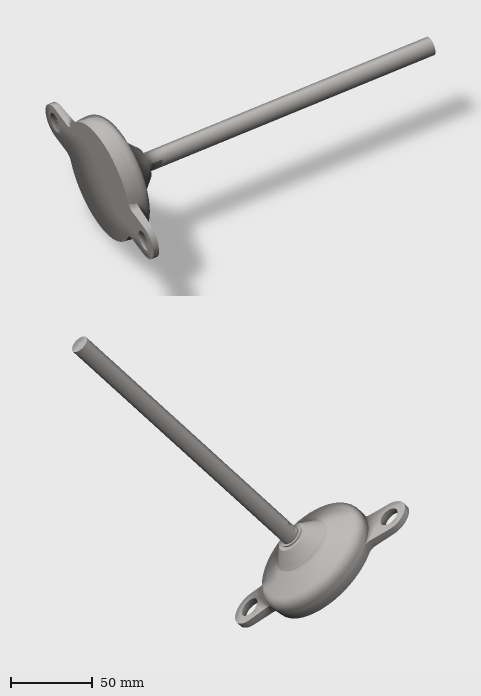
import cadquery as cq
import math

total_length = 231.5

base_radius = 39.4
rim_radius = 40.0
rim_bottom = 5.5
rim_top = 9.0
shoulder_radius = 6.7
dome_top_radius = 19.5
dome_top = 21.8

cone_bottom = 23.2
cone_bottom_radius = 17.8
cone_top = 30.5
cone_top_radius = 10.5
ring_radius = 7.6
ring_top = 31.5

overall_width = 136.0
lug_radius = 12.3
lug_hole_radius = 6.5
lug_root_fillet = 5.5
lug_tip_height = 4.0
hole_offset = overall_width / 2 - lug_radius

stem_radius = 6.0
flat_distance = 5.0
flat_bottom = 33.3
flat_top = 41.2


def turn(profile):
    """Revolve a profile drawn in the XY plane about the Y axis."""
    return profile.close().revolve(360, (0, 0, 0), (0, 1, 0))


def make_dome():
    """Turned disc with a slightly tapered foot, rounded shoulder and conical neck."""
    arc_x = rim_radius - shoulder_radius
    to_top_x = dome_top_radius - arc_x
    to_top_y = dome_top - rim_top
    top_direction = math.atan2(to_top_y, to_top_x)
    tangent_angle = top_direction - math.acos(shoulder_radius / math.hypot(to_top_x, to_top_y))

    def shoulder_point(angle):
        return arc_x + shoulder_radius * math.cos(angle), rim_top + shoulder_radius * math.sin(angle)

    return turn(
        cq.Workplane("XY")
        .moveTo(0, 0)
        .lineTo(base_radius, 0)
        .lineTo(rim_radius, rim_bottom)
        .lineTo(rim_radius, rim_top)
        .threePointArc(shoulder_point(tangent_angle / 2), shoulder_point(tangent_angle))
        .lineTo(dome_top_radius, dome_top)
        .lineTo(cone_bottom_radius, cone_bottom)
        .lineTo(cone_top_radius, cone_top)
        .lineTo(ring_radius, cone_top)
        .lineTo(ring_radius, ring_top)
        .lineTo(0, ring_top)
    )


def make_lug_plate():
    """Plate with two rounded lugs blended into the disc, thinning towards the tips."""
    disc = cq.Workplane("XZ").circle(base_radius).extrude(-rim_bottom)
    bar = cq.Workplane("XZ").slot2D(overall_width, 2 * lug_radius).extrude(-rim_bottom)
    root_x = math.sqrt(base_radius**2 - lug_radius**2)
    root_edges = cq.selectors.BoxSelector(
        (-root_x - 2.3, -2.3, -lug_radius - 2.3), (root_x + 2.3, rim_bottom + 2.3, lug_radius + 2.3)
    )
    plate = disc.union(bar).edges("|Y").edges(root_edges).fillet(lug_root_fillet)

    tip_x = overall_width / 2
    tapered_envelope = (
        cq.Workplane("XY")
        .polyline([
            (-tip_x, 0),
            (tip_x, 0),
            (tip_x, lug_tip_height),
            (base_radius, rim_bottom),
            (-base_radius, rim_bottom),
            (-tip_x, lug_tip_height),
        ])
        .close()
        .extrude(base_radius, both=True)
    )
    holes = (
        cq.Workplane("XZ")
        .pushPoints([(-hole_offset, 0), (hole_offset, 0)])
        .circle(lug_hole_radius)
        .extrude(-rim_bottom)
    )
    return plate.intersect(tapered_envelope).cut(holes)


def make_base():
    """Dome and lugs in one piece, with a seat for the stem inside the top ring."""
    seat = cq.Workplane("XZ", origin=(0, cone_top, 0)).circle(stem_radius).extrude(cone_top - ring_top)
    return make_dome().union(make_lug_plate()).cut(seat)


def make_stem():
    """Round rod standing in the seat, with two opposite wrench flats near its foot."""
    stem = cq.Workplane("XZ", origin=(0, cone_top, 0)).circle(stem_radius).extrude(cone_top - total_length)
    flat_depth = stem_radius - flat_distance
    for side in (-1, 1):
        flat_cutter = cq.Workplane("XY").box(flat_depth, flat_top - flat_bottom, 2 * stem_radius).translate(
            (side * (flat_distance + flat_depth / 2), (flat_bottom + flat_top) / 2, 0)
        )
        stem = stem.cut(flat_cutter)
    return stem


base = make_base()
stem = make_stem()

result = cq.Compound.makeCompound([base.solids().val(), stem.solids().val()])